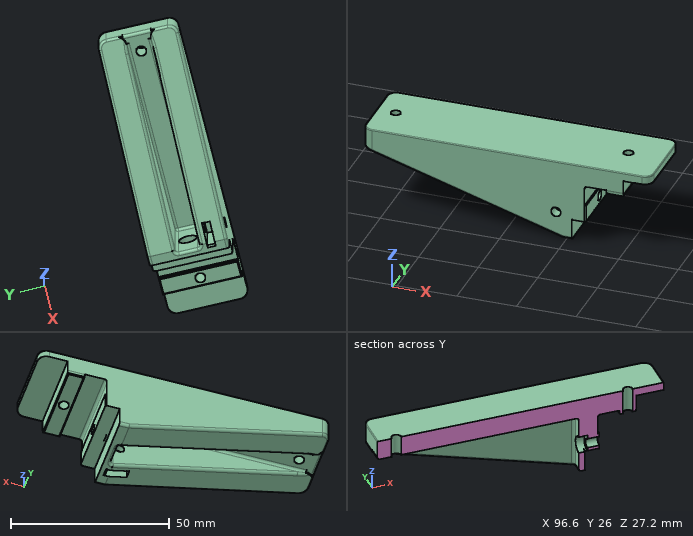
import cadquery as cq
LENGTH = 96.6
WIDTH = 26.0
HEIGHT = 27.2
PLATE_THICKNESS = 3.0
CORNER_RADIUS = 3.0
TOP_EDGE_FILLET = 0.3
NOSE_HEIGHT = 7.15
FOOT_START_X = 66.9
FOOT_END_X = 70.1
FOOT_STEP_Z = -20.1
REAR_WALL_X = 74.4
LEDGE_Z = -7.3
LEDGE_END_X = 87.4
LEDGE_FILLET = 1.0
LOWER_EDGE_FILLET = 1.0

SLOPE = (HEIGHT - NOSE_HEIGHT) / FOOT_START_X
SLOPE_END_Z = -NOSE_HEIGHT - SLOPE * FOOT_END_X
SLOPE_NORMAL = cq.Vector(-SLOPE, 0, -1)

CHANNEL_WIDTH = 8.0
CHANNEL_END_X = 67.9
CHANNEL_ROOF_Z = -7.1
CHANNEL_FLARE_RADIUS = 2.9
CHANNEL_CORNER_FILLET = 1.0
CHANNEL_ROOF_FILLET = 0.9
CHANNEL_MOUTH_FILLET = 1.0
ROOF_NOSE_RADIUS = 1.0
ROOF_NOSE_WIDTH = 9.3

KEY_WIDTH = 5.8
LEDGE_KEY_X = LEDGE_END_X - KEY_WIDTH / 2
LEDGE_KEY_HEIGHT = 1.45
LEDGE_KEY_TAPER = 5.0
LEDGE_KEY_CHAMFER = 0.3
WALL_KEY_Z = FOOT_STEP_Z + KEY_WIDTH / 2
WALL_KEY_HEIGHT = 0.5

HOLE_DIAMETER = 3.2
NOSE_HOLE_X = 6.5
COUNTERBORE_DIAMETER = 5.8
COUNTERBORE_DEPTH = 2.9

SIDE_HOLE_X = 64.8
SIDE_HOLE_Z = -18.3
SIDE_HOLE_DEPTH = (WIDTH - CHANNEL_WIDTH) / 2
NUT_WIDTH = 5.6
NUT_THICKNESS = 2.6
NUT_CENTER_Y = -7.6
NUT_SLOT_START_X = 60.8
NUT_SLOT_END_X = 67.9
NUT_SLOT_CHAMFER = 0.6


def profile_solid(nose_z, foot_z):
    """Side profile extruded across the width; its underside runs from nose_z to foot_z."""
    profile = (
        cq.Workplane("XZ", origin=(0, WIDTH / 2, 0))
        .lineTo(LENGTH, 0)
        .lineTo(LENGTH, -PLATE_THICKNESS)
        .lineTo(LEDGE_END_X, -PLATE_THICKNESS)
        .lineTo(LEDGE_END_X, LEDGE_Z)
        .lineTo(REAR_WALL_X + LEDGE_FILLET, LEDGE_Z)
        .radiusArc((REAR_WALL_X, LEDGE_Z - LEDGE_FILLET), -LEDGE_FILLET)
        .lineTo(REAR_WALL_X, FOOT_STEP_Z)
        .lineTo(FOOT_END_X, FOOT_STEP_Z)
        .lineTo(FOOT_END_X, foot_z)
        .lineTo(0, nose_z)
        .close()
    )
    return profile.extrude(WIDTH).edges("|Z and (<X or >X)").fillet(CORNER_RADIUS)


def channel_cutter():
    """Straight channel, open at the nose and below, with a rounded end and roof."""
    return (
        cq.Workplane("XY", origin=(0, 0, CHANNEL_ROOF_Z - HEIGHT))
        .box(2 * CHANNEL_END_X, CHANNEL_WIDTH, HEIGHT, centered=(True, True, False))
        .edges(">X and |Z")
        .fillet(CHANNEL_CORNER_FILLET)
        .faces(">Z")
        .edges()
        .fillet(CHANNEL_ROOF_FILLET)
    )


def channelled_solid(nose_z, foot_z, underside):
    """Profile solid with the channel, rounded along its lower edges and the channel mouth."""
    body = profile_solid(nose_z, foot_z)
    body = body.faces(underside).edges("not >X").fillet(LOWER_EDGE_FILLET)
    body = body.cut(channel_cutter())
    mouth_y = WIDTH / 4
    mouth = cq.selectors.BoxSelector((0, -mouth_y, 2 * foot_z), (CHANNEL_END_X + 1, mouth_y, 0))
    return body.faces(underside).edges(mouth).fillet(CHANNEL_MOUTH_FILLET)


def wedge_body():
    """Sloping wedge trimmed by a flat-bottomed block, which leaves the level foot."""
    slope_face = cq.selectors.ParallelDirSelector(SLOPE_NORMAL)
    sloped = channelled_solid(-NOSE_HEIGHT, SLOPE_END_Z, slope_face)
    level = channelled_solid(-HEIGHT, -HEIGHT, "<Z")
    body = sloped.intersect(level)
    return body.faces(">Z").edges().fillet(TOP_EDGE_FILLET)


def flare_channel(body):
    """Round the channel sides outwards where they reach the nose."""
    side_y = CHANNEL_WIDTH / 2
    flare_y = side_y + CHANNEL_FLARE_RADIUS
    flare = (
        cq.Workplane("XY", origin=(0, 0, CHANNEL_ROOF_Z))
        .moveTo(0, -flare_y)
        .radiusArc((CHANNEL_FLARE_RADIUS, -side_y), CHANNEL_FLARE_RADIUS)
        .lineTo(CHANNEL_FLARE_RADIUS, side_y)
        .radiusArc((0, flare_y), CHANNEL_FLARE_RADIUS)
        .close()
        .extrude(-NOSE_HEIGHT)
    )
    return body.cut(flare)


def round_roof_at_nose(body):
    """Round the edge where the channel roof meets the nose face."""
    top_z = CHANNEL_ROOF_Z + ROOF_NOSE_RADIUS
    waste = (
        cq.Workplane("XZ", origin=(0, ROOF_NOSE_WIDTH / 2, 0))
        .moveTo(0, top_z)
        .radiusArc((ROOF_NOSE_RADIUS, CHANNEL_ROOF_Z), -ROOF_NOSE_RADIUS)
        .lineTo(0, CHANNEL_ROOF_Z)
        .close()
        .extrude(ROOF_NOSE_WIDTH)
    )
    return body.cut(waste)


def add_keys(body):
    """Keys across the full width: a tapered one under the ledge, a low one on the rear wall."""
    ledge_key = (
        cq.Workplane("XY", origin=(LEDGE_KEY_X, 0, LEDGE_Z))
        .rect(KEY_WIDTH, WIDTH)
        .extrude(-LEDGE_KEY_HEIGHT, taper=LEDGE_KEY_TAPER)
        .faces("<Z")
        .chamfer(LEDGE_KEY_CHAMFER)
    )
    wall_key = (
        cq.Workplane("XY", origin=(REAR_WALL_X, 0, WALL_KEY_Z - KEY_WIDTH / 2))
        .moveTo(0, -WIDTH / 2)
        .lineTo(WALL_KEY_HEIGHT, WALL_KEY_HEIGHT - WIDTH / 2)
        .lineTo(WALL_KEY_HEIGHT, WIDTH / 2 - WALL_KEY_HEIGHT)
        .lineTo(0, WIDTH / 2)
        .close()
        .extrude(KEY_WIDTH)
    )
    return body.union(ledge_key).union(wall_key)


def cut_plate_holes(body):
    """Vertical screw holes, one near the nose and one through the ledge key."""
    holes = (
        cq.Workplane("XY")
        .pushPoints([(NOSE_HOLE_X, 0), (LEDGE_KEY_X, 0)])
        .circle(HOLE_DIAMETER / 2)
        .extrude(-HEIGHT)
    )
    return body.cut(holes)


def cut_wall_hole(body):
    """Counterbored hole from the end of the channel out through the rear wall key."""
    channel_end = cq.Workplane("YZ", origin=(CHANNEL_END_X, 0, WALL_KEY_Z))
    hole = channel_end.circle(HOLE_DIAMETER / 2).extrude(LENGTH - CHANNEL_END_X)
    counterbore = channel_end.circle(COUNTERBORE_DIAMETER / 2).extrude(COUNTERBORE_DEPTH)
    return body.cut(hole).cut(counterbore)


def cut_side_screw(body):
    """Cross hole from the -Y side and the nut slot that reaches it from below, chamfered at its lower end."""
    hole = (
        cq.Workplane("XZ", origin=(SIDE_HOLE_X, -WIDTH / 2, SIDE_HOLE_Z))
        .circle(HOLE_DIAMETER / 2)
        .extrude(-SIDE_HOLE_DEPTH)
    )
    slot_top_z = SIDE_HOLE_Z + NUT_WIDTH / 2
    nut_slot = (
        cq.Workplane("XZ", origin=(0, NUT_CENTER_Y + NUT_THICKNESS / 2, 0))
        .moveTo(NUT_SLOT_START_X, slot_top_z)
        .lineTo(NUT_SLOT_END_X, slot_top_z)
        .lineTo(NUT_SLOT_END_X, NUT_SLOT_CHAMFER - HEIGHT)
        .lineTo(NUT_SLOT_END_X + NUT_SLOT_CHAMFER, -HEIGHT)
        .lineTo(NUT_SLOT_START_X, -HEIGHT)
        .close()
        .extrude(NUT_THICKNESS)
    )
    return body.cut(hole).cut(nut_slot)


result = wedge_body()
result = flare_channel(result)
result = round_roof_at_nose(result)
result = add_keys(result)
result = cut_plate_holes(result)
result = cut_wall_hole(result)
result = cut_side_screw(result)